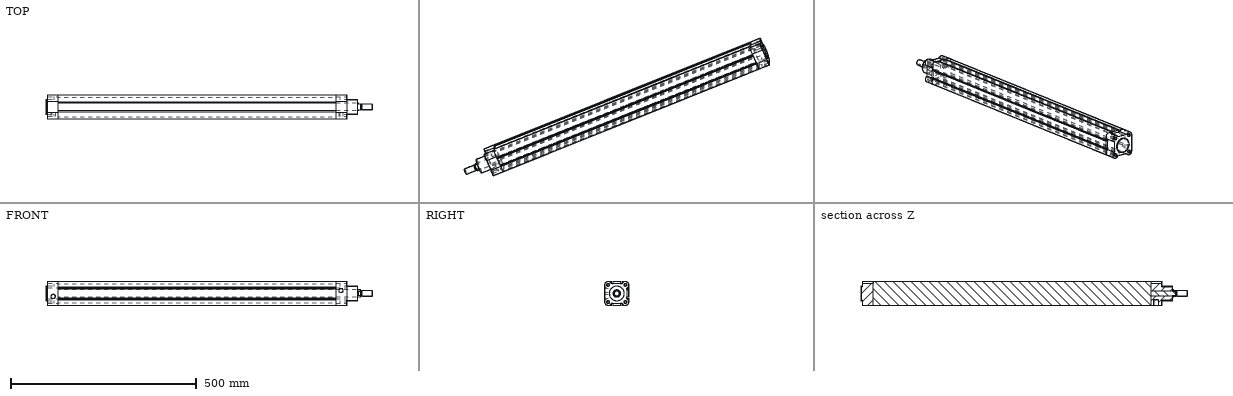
import cadquery as cq

width = 65.0
total_length = 879.0
boss_length = 3.5
cap_length = 29.0
barrel_length = 748.5
stub_length = 29.0
collar_length = 37.0

rear_face = -total_length / 2 + boss_length
barrel_start = rear_face + cap_length
barrel_end = barrel_start + barrel_length
front_face = barrel_end + cap_length
stub_end = front_face + stub_length
thread_start = front_face + collar_length
rod_end = total_length / 2

half_width = width / 2
bolt_spacing = 46.5
bolt_offset = bolt_spacing / 2
lobe_radius = half_width - bolt_offset
recess_depth = 5.2
recessed_half = half_width - recess_depth
boss_diameter = 40.0
bolt_hole_diameter = 6.0
bolt_recess_diameter = 8.0
bolt_recess_depth = 1.0
bolt_hole_depth = 18.0
port_diameter = 12.0
port_chamfer = 0.4
port_core_diameter = port_diameter - 2 * port_chamfer
port_depth = 15.0
port_inset = 15.8
port_offset = 8.0

slot_width = 3.4
slot_depth = 6.5
slot_offset = 11.9
groove_width = 5.4
groove_depth = 5.0
groove_offset = 14.6

rod_diameter = 20.0
flat_distance = 17.0
flats_length = 6.0
thread_diameter = 16.0
thread_chamfer = 1.4
neck_diameter = thread_diameter - 2 * thread_chamfer
neck_length = 2.3


def cylinder_x(diameter, start, end, y=0.0, z=0.0):
    """A cylinder along X between two places."""
    return cq.Workplane("YZ", origin=(start, y, z)).circle(diameter / 2).extrude(end - start)


def block(start, end, y_low, y_high, z_low, z_high):
    """A rectangular block given by its limits."""
    size = (end - start, y_high - y_low, z_high - z_low)
    return cq.Workplane("XY", origin=(start, y_low, z_low)).box(*size, centered=False)


def bolt_places():
    """The Y and Z of the four corner bolts."""
    return [(y, z) for y in (-bolt_offset, bolt_offset) for z in (-bolt_offset, bolt_offset)]


def make_port(x, z):
    """The space of an air port in the -Y side, with a chamfered mouth."""
    mouth = cq.Workplane("XZ", origin=(x, -half_width, z))
    core = mouth.circle(port_core_diameter / 2).extrude(-port_depth)
    cone = cq.Solid.makeCone(
        port_diameter / 2,
        port_core_diameter / 2,
        port_chamfer,
        pnt=cq.Vector(x, -half_width, z),
        dir=cq.Vector(0, 1, 0),
    )
    return core.union(cq.Workplane(cone))


def make_cap(start, outer_face, inward, port_z):
    """An end cap recessed on three sides between round corner lobes, with a flat port side at -Y."""
    end = start + cap_length
    cap = block(start, end, -recessed_half, recessed_half, -recessed_half, recessed_half)
    cap = cap.union(block(start, end, -half_width, 0, -bolt_offset, bolt_offset))
    for y, z in bolt_places():
        cap = cap.union(cylinder_x(2 * lobe_radius, start, end, y, z))
    hole_end = outer_face + inward * bolt_hole_depth
    recess_end = outer_face + inward * bolt_recess_depth
    for y, z in bolt_places():
        cap = cap.cut(cylinder_x(bolt_hole_diameter, outer_face, hole_end, y, z))
        cap = cap.cut(cylinder_x(bolt_recess_diameter, outer_face, recess_end, y, z))
    return cap.cut(make_port(outer_face + inward * port_inset, port_z))


def make_rear_cap():
    """The rear cap with its round centring boss."""
    cap = make_cap(rear_face, rear_face, 1, -port_offset)
    return cap.union(cylinder_x(boss_diameter, rear_face - boss_length, rear_face))


def make_front_cap():
    """The front cap with its guide stub, bored for the piston rod."""
    cap = make_cap(barrel_end, front_face, -1, port_offset)
    cap = cap.union(cylinder_x(boss_diameter, front_face, stub_end))
    return cap.cut(cylinder_x(rod_diameter, barrel_end, stub_end))


def make_barrel():
    """The barrel profile with square slots in three sides and V grooves in the port side."""
    barrel = block(barrel_start, barrel_end, -half_width, half_width, -half_width, half_width)
    barrel = barrel.edges("|X").fillet(lobe_radius)
    slot_floor = half_width - slot_depth
    half_slot = slot_width / 2
    half_groove = groove_width / 2
    for side in (-1, 1):
        middle = side * slot_offset
        slot = block(barrel_start, barrel_end, slot_floor, half_width, middle - half_slot, middle + half_slot)
        for turn in (-90, 0, 90):
            barrel = barrel.cut(slot.rotate((0, 0, 0), (1, 0, 0), turn))
        groove_z = side * groove_offset
        groove = (
            cq.Workplane("YZ", origin=(barrel_start, 0, 0))
            .moveTo(-half_width, groove_z - half_groove)
            .lineTo(-half_width + groove_depth, groove_z)
            .lineTo(-half_width, groove_z + half_groove)
            .close()
            .extrude(barrel_length)
        )
        barrel = barrel.cut(groove)
    return barrel


def make_rod():
    """The piston rod with two spanner flats, then a neck and a chamfered threaded end."""
    rod = cylinder_x(rod_diameter, barrel_end, thread_start)
    flats_start = thread_start - flats_length
    rod_radius = rod_diameter / 2
    for low, high in ((flat_distance / 2, rod_radius), (-rod_radius, -flat_distance / 2)):
        rod = rod.cut(block(flats_start, thread_start, low, high, -rod_radius, rod_radius))
    neck_end = thread_start + neck_length
    rod = rod.union(cylinder_x(neck_diameter, thread_start, neck_end))
    thread = cylinder_x(thread_diameter, neck_end, rod_end).faces("<X or >X").chamfer(thread_chamfer)
    return rod.union(thread)


rear_cap = make_rear_cap()
barrel = make_barrel()
front_cap = make_front_cap()
rod = make_rod()

result = cq.Compound.makeCompound([rear_cap.val(), barrel.val(), front_cap.val(), rod.val()])